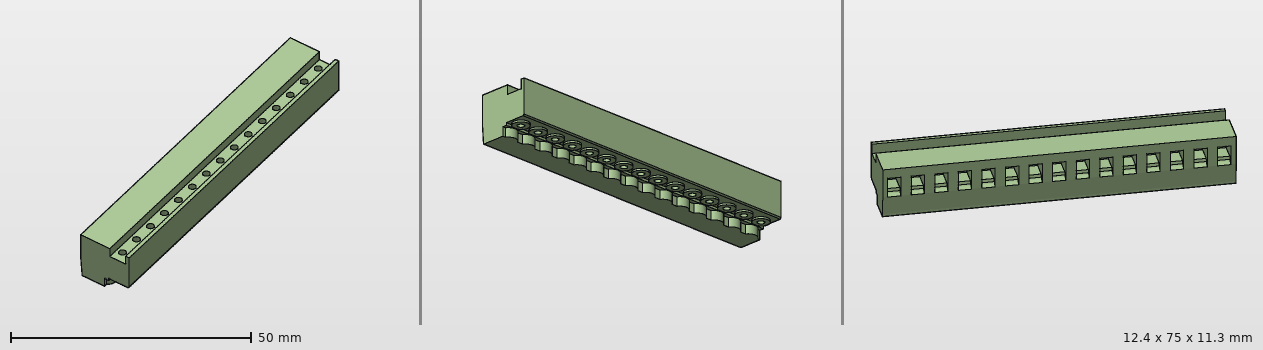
import cadquery as cq

width = 12.4
length = 75.0
height = 11.3

pole_count = 15
pitch = length / pole_count
pole_shift = 0.06

front_break_z = 4.77
front_taper_end_z = 0.6
body_underside_z = 2.75
step_underside_z = 2.15

front_taper = 0.3
step_end_x = 7.15
foot_end_x = 6.1
body_corner_chamfer = 0.3
front_edge_radius = 0.15

channel_start_x = 7.45
channel_end_x = 11.5
channel_depth = 2.2

post_radius = 2.05
post_x = step_end_x - post_radius

hole_x = 8.87
hole_diameter = 1.6
collar_radius = 1.95
collar_drop = 0.45

entry_width = 2.8
entry_height = 4.4
entry_depth = 5.0
entry_roof_run = 2.3
entry_roof_drop = 0.45
lip_run = 0.7
lip_rise = 0.37
curve_run = 0.32
curve_rise = 0.34
curve_radius = 1.6
ramp_run = 0.18
ramp_rise = 0.65


def pole_points(x):
    """One point per pole at the given X, one pitch apart."""
    first_y = pole_shift - (pole_count - 1) * pitch / 2
    return [(x, first_y + index * pitch) for index in range(pole_count)]


def extrude_section(sketch, depth):
    """Extrude an XZ outline symmetrically about Y = 0."""
    return sketch.close().extrude(depth / 2, both=True)


def make_body():
    outline = (
        cq.Workplane("XZ")
        .moveTo(0, height)
        .lineTo(0, front_break_z)
        .lineTo(front_taper, front_taper_end_z)
        .lineTo(front_taper, 0)
        .lineTo(foot_end_x, 0)
        .lineTo(foot_end_x, step_underside_z)
        .lineTo(step_end_x, step_underside_z)
        .lineTo(step_end_x, body_underside_z)
        .lineTo(width - body_corner_chamfer, body_underside_z)
        .lineTo(width, body_underside_z + body_corner_chamfer)
        .lineTo(width, height)
        .lineTo(channel_end_x, height)
        .lineTo(channel_end_x, height - channel_depth)
        .lineTo(channel_start_x, height - channel_depth)
        .lineTo(channel_start_x, height)
    )
    body = extrude_section(outline, length)
    return body.faces("<Z").edges("<X").fillet(front_edge_radius)


def make_foot_posts():
    return cq.Workplane("XY").pushPoints(pole_points(post_x)).circle(post_radius).extrude(step_underside_z)


def make_collars():
    base = cq.Workplane("XY").workplane(offset=body_underside_z - collar_drop)
    return base.pushPoints(pole_points(hole_x)).circle(collar_radius).extrude(collar_drop)


def make_pin_holes():
    return cq.Workplane("XY").pushPoints(pole_points(hole_x)).circle(hole_diameter / 2).extrude(height)


def make_wire_entry(y):
    """Wire opening: sloped lip, curved rise, steep ramp and flat floor under a sloped roof."""
    roof_z = front_break_z + entry_height
    curve_start = (lip_run, front_break_z + lip_rise)
    curve_end = (curve_start[0] + curve_run, curve_start[1] + curve_rise)
    floor_start = (curve_end[0] + ramp_run, curve_end[1] + ramp_rise)
    outline = (
        cq.Workplane("XZ", origin=(0, y, 0))
        .moveTo(0, roof_z)
        .lineTo(0, front_break_z)
        .lineTo(*curve_start)
        .radiusArc(curve_end, -curve_radius)
        .lineTo(*floor_start)
        .lineTo(entry_depth, floor_start[1])
        .lineTo(entry_depth, roof_z - entry_roof_drop)
        .lineTo(entry_roof_run, roof_z - entry_roof_drop)
    )
    return extrude_section(outline, entry_width)


result = make_body().union(make_foot_posts()).union(make_collars()).cut(make_pin_holes())
for _, pole_y in pole_points(0):
    result = result.cut(make_wire_entry(pole_y))